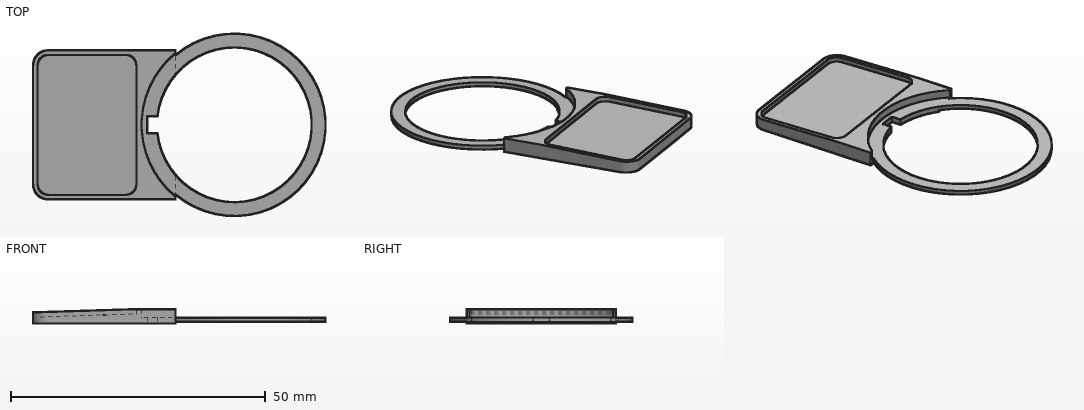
import cadquery as cq

plate_length = 27.95
plate_width = 29.3
plate_corner_radius = 3.0
edge_height = 2.25
full_height = 2.85
slope_end = 20.25
slope = (full_height - edge_height) / slope_end

rim = 0.9
recess_corner_radius = 2.05
recess_depth = 1.0

overall_length = 57.4
ring_radius = 17.9
bore_radius = 15.15
ring_bottom = 0.35
ring_thickness = 0.85
ring_top = ring_bottom + ring_thickness
ring_center = overall_length - ring_radius
seat_radius = 18.2

notch_left = 22.45
notch_width = 3.3


def disc(radius, bottom, top):
    """Upright cylinder on the ring axis between two heights."""
    return cq.Workplane("XY", origin=(ring_center, 0, bottom)).circle(radius).extrude(top - bottom)


def make_plate():
    """Plate with a sloped top and two rounded outer corners."""
    profile = [
        (0, 0),
        (plate_length, 0),
        (plate_length, full_height),
        (slope_end, full_height),
        (0, edge_height),
    ]
    plate = cq.Workplane("XZ").polyline(profile).close().extrude(plate_width / 2, both=True)
    return plate.edges("|Z and <X").fillet(plate_corner_radius)


def make_recess():
    """Rounded pocket whose floor runs parallel to the sloped top."""
    profile = [
        (rim, full_height),
        (slope_end, full_height),
        (slope_end, full_height - recess_depth),
        (rim, edge_height + slope * rim - recess_depth),
    ]
    recess = cq.Workplane("XZ").polyline(profile).close().extrude(plate_width / 2 - rim, both=True)
    return recess.edges("|Z").fillet(recess_corner_radius)


def make_notch():
    """Rectangular key slot running from its outer end into the bore."""
    length = ring_center - notch_left
    start = cq.Workplane("XY", origin=(notch_left, 0, 0))
    return start.box(length, notch_width, full_height, centered=(False, True, False))


plate = make_plate().cut(make_recess()).cut(disc(seat_radius, ring_top, full_height))
ring = disc(ring_radius, ring_bottom, ring_top)
result = plate.union(ring).cut(disc(bore_radius, 0, full_height)).cut(make_notch())